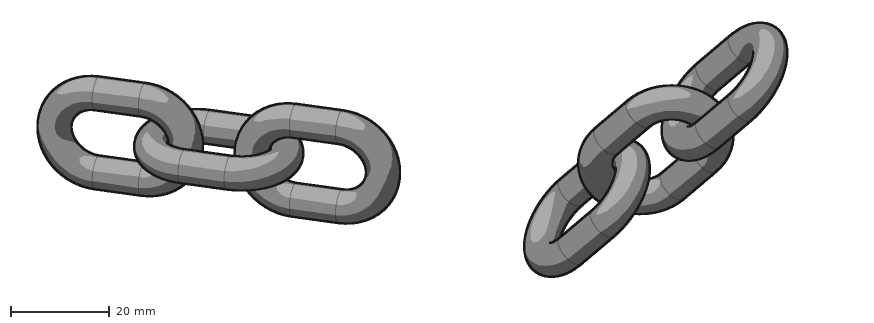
import cadquery as cq

chain_length = 76.95
link_width = 25.2
wire_diameter = 7.0
link_count = 3

link_length = (chain_length + 2 * (link_count - 1) * wire_diameter) / link_count
link_pitch = link_length - 2 * wire_diameter
bend_radius = (link_width - wire_diameter) / 2
half_straight = (link_length - link_width) / 2


def chain_link():
    """Oval link of round wire, lying in the XY plane and centred on the origin."""
    centreline = (
        cq.Workplane("XY")
        .moveTo(-half_straight, -bend_radius)
        .lineTo(half_straight, -bend_radius)
        .threePointArc((half_straight + bend_radius, 0), (half_straight, bend_radius))
        .lineTo(-half_straight, bend_radius)
        .threePointArc((-half_straight - bend_radius, 0), (-half_straight, -bend_radius))
        .close()
    )
    wire_section = cq.Workplane("YZ", origin=(-half_straight, -bend_radius, 0)).circle(wire_diameter / 2)
    return wire_section.sweep(centreline)


links = []
for index in range(link_count):
    link = chain_link()
    if index % 2 == 0:
        link = link.rotate((0, 0, 0), (1, 0, 0), 90)
    link_x = (index - (link_count - 1) / 2) * link_pitch
    links.append(link.translate((link_x, 0, 0)).val())

result = cq.Compound.makeCompound(links)